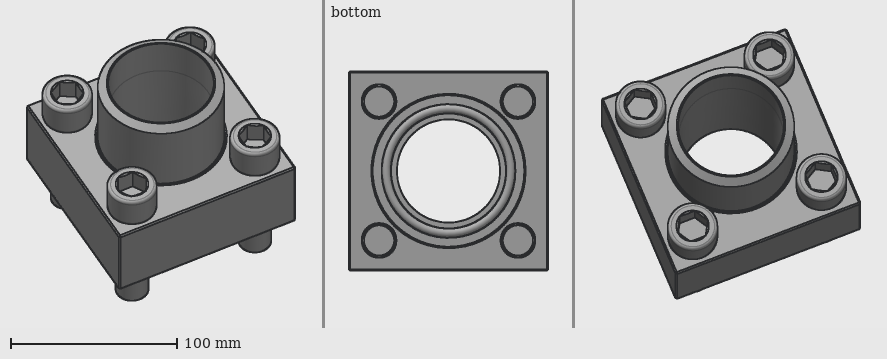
import cadquery as cq
import math

block_side = 120.0
block_height = 48.2
block_chamfer = 1.0
bore_diameter = 77.5
bore_mouth_chamfer = 1.0
counterbore_diameter = 93.0

sleeve_diameter = 76.1
seat_diameter = 77.0
seat_top = block_height
sleeve_rise = 48.0
sleeve_top = block_height + sleeve_rise
land_width = 1.0
bevel_angle = 30.0
mouth_diameter = 63.5
mouth_depth = 24.0
taper_length = 73.9
passage_diameter = 62.0
collar_diameter = 92.0
collar_height = 16.0
collar_protrusion = 2.0
collar_chamfer = 0.5

groove_inner_diameter = 69.0
groove_outer_diameter = 80.7
cord_diameter = 5.3
cord_protrusion = 1.2

screw_spacing = 83.5
shank_diameter = 20.0
shank_length = 75.0
tip_chamfer = 1.0
clearance_diameter = 21.0
head_diameter = 30.0
head_height = 20.0
head_fillet = 2.0
head_base_chamfer_height = 1.6
head_base_chamfer_width = 0.5
hex_corner_diameter = 19.7
hex_depth = 13.0
hex_lead_angle = 30.0

collar_bottom = -collar_protrusion
collar_top = collar_bottom + collar_height
groove_depth = cord_diameter - cord_protrusion

screw_offset = screw_spacing / 2
screw_places = [
    (screw_offset * sx, screw_offset * sy) for sx in (-1, 1) for sy in (-1, 1)
]


def revolved(profile):
    """Solid of revolution about Z from (radius, height) points."""
    return cq.Workplane("XZ").polyline(profile).close().revolve(360, (0, 0), (0, 1))


def disc(diameter, bottom, height):
    """Upright cylinder on the Z axis."""
    return cq.Workplane("XY").workplane(offset=bottom).circle(diameter / 2).extrude(height)


def make_block():
    """Square flange with a stepped bore and four screw holes."""
    block = cq.Workplane("XY").rect(block_side, block_side).extrude(block_height)
    block = block.edges().chamfer(block_chamfer)
    bore_radius = bore_diameter / 2
    bore_mouth_radius = bore_radius + bore_mouth_chamfer
    counterbore_radius = counterbore_diameter / 2
    mouth_start = block_height - bore_mouth_chamfer
    bore = revolved([
        (0, 0),
        (counterbore_radius, 0),
        (counterbore_radius, collar_top),
        (bore_radius, collar_top),
        (bore_radius, mouth_start),
        (bore_mouth_radius, block_height),
        (0, block_height),
    ])
    screw_holes = (
        cq.Workplane("XY").pushPoints(screw_places).circle(clearance_diameter / 2).extrude(block_height)
    )
    return block.cut(bore).cut(screw_holes)


def make_sleeve():
    """Tube with a weld bevel on top, a collar below and an O-ring groove in the collar face."""
    sleeve_radius = sleeve_diameter / 2
    seat_radius = seat_diameter / 2
    mouth_radius = mouth_diameter / 2
    passage_radius = passage_diameter / 2
    collar_radius = collar_diameter / 2
    land_radius = mouth_radius + land_width
    bevel_height = (sleeve_radius - land_radius) * math.tan(math.radians(bevel_angle))
    taper_top = sleeve_top - mouth_depth
    sleeve = revolved([
        (passage_radius, collar_bottom),
        (collar_radius - collar_chamfer, collar_bottom),
        (collar_radius, collar_bottom + collar_chamfer),
        (collar_radius, collar_top),
        (seat_radius, collar_top),
        (seat_radius, seat_top),
        (sleeve_radius, seat_top),
        (sleeve_radius, sleeve_top - bevel_height),
        (land_radius, sleeve_top),
        (mouth_radius, sleeve_top),
        (mouth_radius, taper_top),
        (passage_radius, taper_top - taper_length),
    ])
    groove = disc(groove_outer_diameter, collar_bottom, groove_depth).cut(
        disc(groove_inner_diameter, collar_bottom, groove_depth)
    )
    return sleeve.cut(groove)


def make_o_ring():
    """Round-cord ring seated on the groove floor, standing proud of the collar face."""
    ring_radius = (groove_inner_diameter + groove_outer_diameter) / 4
    cord_radius = cord_diameter / 2
    cord_height = collar_bottom - cord_protrusion + cord_radius
    cord_section = cq.Workplane("XZ").center(ring_radius, cord_height).circle(cord_radius)
    return cord_section.revolve(360, (-ring_radius, 0), (-ring_radius, 1))


def make_screw(x, y):
    """Socket head cap screw seated on the block's top face."""
    shank_radius = shank_diameter / 2
    head_radius = head_diameter / 2
    tip = block_height - shank_length
    head_top = block_height + head_height
    screw = revolved([
        (0, tip),
        (shank_radius - tip_chamfer, tip),
        (shank_radius, tip + tip_chamfer),
        (shank_radius, block_height),
        (head_radius - head_base_chamfer_width, block_height),
        (head_radius, block_height + head_base_chamfer_height),
        (head_radius, head_top),
        (0, head_top),
    ])
    screw = screw.faces(">Z").edges().fillet(head_fillet)

    socket = (
        cq.Workplane("XY")
        .workplane(offset=head_top - hex_depth)
        .polygon(6, hex_corner_diameter)
        .extrude(hex_depth)
    )
    if x * y < 0:
        socket = socket.rotate((0, 0, 0), (0, 0, 1), 90)
    corner_radius = hex_corner_diameter / 2
    cone_depth = corner_radius * math.tan(math.radians(hex_lead_angle))
    lead_in = revolved([(0, head_top - cone_depth), (corner_radius, head_top), (0, head_top)])
    return screw.cut(socket).cut(lead_in).translate((x, y, 0))


block = make_block()
sleeve = make_sleeve()
o_ring = make_o_ring()
screws = [make_screw(x, y) for x, y in screw_places]

result = cq.Compound.makeCompound(
    [block.val(), sleeve.val(), o_ring.val(), *[screw.val() for screw in screws]]
)